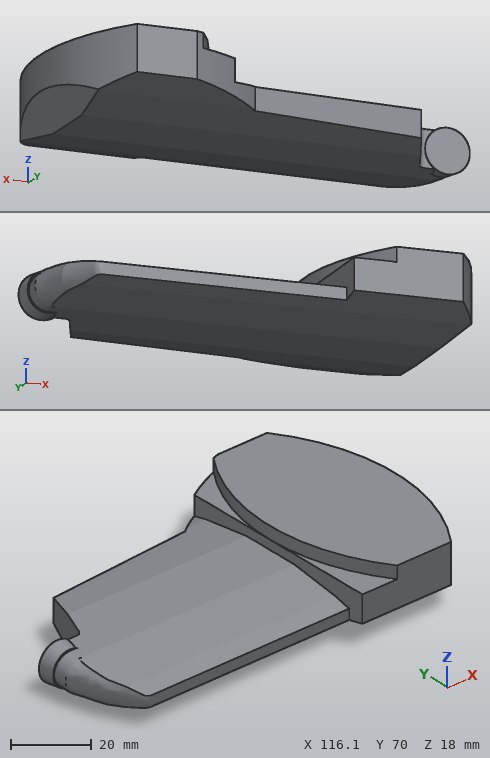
import cadquery as cq
import math


length = 116.1
top_z = 12.0

insert_radius = 6.0
insert_thickness = 4.8
relief_angle = 7.0
insert_x = insert_radius
insert_back_radius = insert_radius - insert_thickness * math.tan(math.radians(relief_angle))

head_width = 70.0
half_width = head_width / 2
head_left_x = 75.7
side_end_x = 104.7
end_bulge = length - side_end_x
end_arc_radius = (half_width**2 + end_bulge**2) / (2 * end_bulge)
cap_bottom_z = 8.0
cap_left_center_x = head_left_x + end_arc_radius
end_chamfer = 7.5

blade_thickness = 10.1
half_thickness = blade_thickness / 2
flat_half_width = 9.0
knee_y = 24.4
knee_thickness = 5.9
knee_z = knee_thickness / 2
edge_z = 0.5

seat_y = -0.2
blade_side_y = -30.0
relief_foot_x = 13.5
relief_top = (21.4, 19.3)
shoulder_start = (67.8, 23.2)
shoulder_middle = (head_left_x, 28.9)
shoulder_end_x = 88.6
corner_radius = 2.0
pick_margin = 0.1

nose_radius = half_thickness
nose_left_x = insert_x - nose_radius
nose_bends = [
    (nose_left_x, seat_y),
    (nose_left_x, -flat_half_width),
    (4.1, -19.5),
    (9.5, blade_side_y),
]


def make_insert():
    """Solid round insert, tapering from its cutting face to its back."""
    return cq.Workplane(
        cq.Solid.makeCone(
            insert_radius,
            insert_back_radius,
            insert_thickness,
            cq.Vector(insert_x, 0, 0),
            cq.Vector(0, -1, 0),
        )
    )


def make_section(is_head):
    """Full-length bar with the sloped underside; the head's section rises straight to the top."""
    underside = [
        (-half_width, -edge_z),
        (-knee_y, -knee_z),
        (-flat_half_width, -half_thickness),
        (flat_half_width, -half_thickness),
        (knee_y, -knee_z),
        (half_width, -edge_z),
    ]
    if is_head:
        upper_side = [(half_width, top_z), (-half_width, top_z)]
    else:
        upper_side = [(y, -z) for y, z in reversed(underside)]
    return cq.Workplane("YZ").polyline(underside + upper_side).close().extrude(length)


def extrude_plan(outline, bottom_z, height):
    """Extrude a closed plan outline upward from a given level."""
    return outline.extrude(height).translate((0, 0, bottom_z))


def make_nose_envelope():
    """Stack of half-round-fronted profiles that follows the bent leading edge."""
    profiles = []
    for left_x, y in nose_bends:
        center_x = left_x + nose_radius
        profile = (
            cq.Workplane("XZ", origin=(0, y, 0))
            .moveTo(head_left_x, nose_radius)
            .lineTo(center_x, nose_radius)
            .threePointArc((left_x, 0), (center_x, -nose_radius))
            .lineTo(head_left_x, -nose_radius)
            .close()
        )
        profiles.append(profile.val())
    envelope = cq.Workplane(cq.Solid.makeLoft(profiles, True))
    return envelope.faces("<Y").edges("<X").fillet(corner_radius)


def make_blade():
    """Flat tapered blade: a rounded nose half and a plain, set-back half."""
    lower = make_section(False).intersect(make_nose_envelope())
    outline = (
        cq.Workplane("XY")
        .moveTo(relief_foot_x, seat_y)
        .lineTo(*relief_top)
        .lineTo(*shoulder_start)
        .threePointArc(shoulder_middle, (shoulder_end_x, half_width))
        .lineTo(shoulder_end_x, seat_y)
        .close()
    )
    upper = extrude_plan(outline, -half_thickness, blade_thickness)
    upper = upper.intersect(make_section(False))
    blade = lower.union(upper)
    relief_foot = cq.selectors.BoxSelector(
        (relief_foot_x - pick_margin, seat_y - pick_margin, -half_thickness - pick_margin),
        (relief_foot_x + pick_margin, seat_y + pick_margin, half_thickness + pick_margin),
    )
    return blade.edges("|Z").edges(relief_foot).fillet(corner_radius)


def make_head_base():
    """Head block with a straight front, a rounded shoulder and a bulged end."""
    outline = (
        cq.Workplane("XY")
        .moveTo(*shoulder_start)
        .threePointArc(shoulder_middle, (shoulder_end_x, half_width))
        .lineTo(side_end_x, half_width)
        .threePointArc((length, 0), (side_end_x, -half_width))
        .lineTo(head_left_x, -half_width)
        .close()
    )
    height = top_z + half_thickness
    base = extrude_plan(outline, -half_thickness, height).intersect(make_section(True))
    behind_front = cq.Workplane("XY", origin=(head_left_x, -half_width, -half_thickness)).box(
        length - head_left_x, head_width, height, centered=False
    )
    return base.intersect(behind_front)


def trim_cap(head):
    """Cut the top layer of the head back to an arc on the blade side."""
    layer_height = top_z - cap_bottom_z
    layer = cq.Workplane("XY", origin=(head_left_x, -half_width, cap_bottom_z)).box(
        end_arc_radius, head_width, layer_height, centered=False
    )
    keep = (
        cq.Workplane("XY", origin=(cap_left_center_x, 0, cap_bottom_z))
        .circle(end_arc_radius)
        .extrude(layer_height)
    )
    return head.cut(layer.cut(keep))


def chamfer_end(body):
    """Cut the lower end of the head off along a 45 degree plane."""
    wedge = (
        cq.Workplane("XZ")
        .moveTo(length - end_chamfer, -half_thickness)
        .lineTo(length, -half_thickness)
        .lineTo(length, end_chamfer - half_thickness)
        .close()
        .extrude(half_width, both=True)
    )
    return body.cut(wedge)


def make_holder(insert):
    """One-piece blade and head with a matching seat for the insert."""
    head = trim_cap(make_head_base())
    return chamfer_end(make_blade().union(head)).cut(insert)


insert = make_insert()
holder = make_holder(insert)
result = cq.Compound.makeCompound([holder.val(), insert.val()])